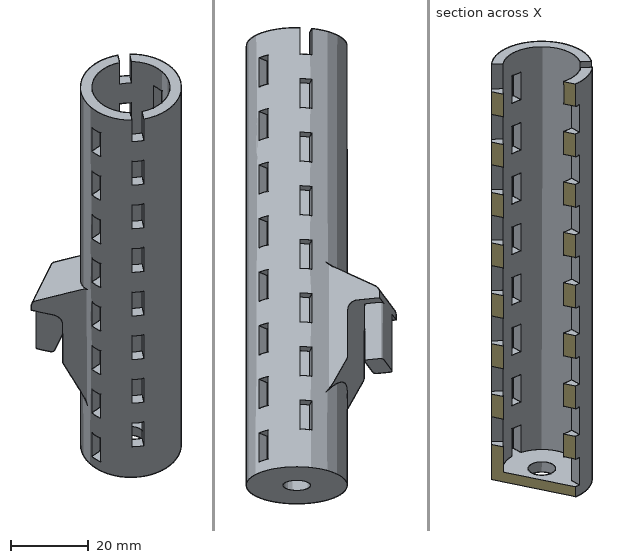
import cadquery as cq
import math

length = 121.4
outer_diameter = 26.0
bore_diameter = 20.0
floor_thickness = 3.0
floor_hole_diameter = 7.0
outer_radius = outer_diameter / 2

slot_width = 3.0
slot_height = 8.0
slot_pitch = 14.8
slots_per_row = 8
slot_row_angle = 26.0

hook_width = 16.1
hook_center_y = -1.0
overall_width = 37.0
hook_tip_x = outer_radius - overall_width
hook_wall_x = -15.5
hook_inner_x = -4.9
hook_corner_z = 49.4
hook_arm_z = 46.6
hook_wall_bottom_z = 31.1
top_slope = math.tan(math.radians(30))
bottom_slope = math.tan(math.radians(60))
profile_radius = 2.4
root_radius = 3.0

tab_thickness = 5.1
tab_width = 10.0
tab_bottom_z = 31.1
tab_edge_radius = 1.0


def make_tube_body():
    return cq.Workplane("XY").circle(outer_radius).extrude(length)


def make_hook_half_plan(side):
    """One side (-1 or 1) of the hook's plan, with a concave root arc tangent to wall and tube."""
    wall_y = hook_center_y + side * hook_width / 2
    arc_center_y = wall_y + side * root_radius
    center_distance = outer_radius + root_radius
    arc_center_x = -math.sqrt(center_distance**2 - arc_center_y**2)
    to_tube = outer_radius / center_distance
    tube_point = (arc_center_x * to_tube, arc_center_y * to_tube)
    return (
        cq.Workplane("XY")
        .moveTo(hook_tip_x, hook_center_y)
        .lineTo(hook_tip_x, wall_y)
        .lineTo(arc_center_x, wall_y)
        .tangentArcPoint(tube_point, relative=False)
        .lineTo(hook_inner_x, tube_point[1])
        .lineTo(hook_inner_x, hook_center_y)
        .close()
        .extrude(length)
    )


def make_hook():
    """Hook side profile, ending inside the tube, within a plan that flares into the tube."""
    profile = (
        cq.Workplane("XZ", origin=(0, outer_diameter, 0))
        .moveTo(hook_tip_x, hook_arm_z)
        .lineTo(hook_tip_x, hook_corner_z)
        .lineTo(hook_inner_x, hook_corner_z + (hook_inner_x - hook_tip_x) * top_slope)
        .lineTo(hook_inner_x, hook_wall_bottom_z - (hook_inner_x - hook_wall_x) * bottom_slope)
        .lineTo(hook_wall_x, hook_wall_bottom_z)
        .lineTo(hook_wall_x, hook_arm_z)
        .close()
        .extrude(2 * outer_diameter)
    )
    rounded_corners = [
        (hook_tip_x, hook_corner_z),
        (hook_wall_x, hook_wall_bottom_z),
        (hook_wall_x, hook_arm_z),
    ]
    for x, z in rounded_corners:
        edge = cq.selectors.NearestToPointSelector((x, 0, z))
        profile = profile.edges(edge).fillet(profile_radius)

    plan = make_hook_half_plan(-1).union(make_hook_half_plan(1))
    return profile.intersect(plan)


def make_tab():
    tab_height = hook_arm_z - tab_bottom_z
    tab_center = (hook_tip_x + tab_thickness / 2, hook_center_y, tab_bottom_z)
    return (
        cq.Workplane("XY", origin=tab_center)
        .rect(tab_thickness, tab_width)
        .extrude(tab_height)
        .edges("|Z")
        .fillet(tab_edge_radius)
    )


def make_slot_row(angle, first_z):
    """Cutters through both walls, turned by the angle from the Y direction."""
    slot = cq.Workplane("XY").box(
        slot_width, 2 * outer_diameter, slot_height, centered=(True, True, False)
    )
    row = cq.Workplane("XY")
    for index in range(slots_per_row):
        row = row.add(slot.translate((0, 0, first_z + index * slot_pitch)))
    return row.combine().rotate((0, 0, 0), (0, 0, 1), angle)


bore = (
    cq.Workplane("XY", origin=(0, 0, floor_thickness))
    .circle(bore_diameter / 2)
    .extrude(length)
)
floor_hole = cq.Workplane("XY").circle(floor_hole_diameter / 2).extrude(length)

result = make_tube_body().union(make_hook()).union(make_tab())
result = result.cut(bore).cut(floor_hole)
result = result.cut(make_slot_row(-slot_row_angle, floor_thickness))
result = result.cut(make_slot_row(slot_row_angle, floor_thickness + slot_pitch / 2))